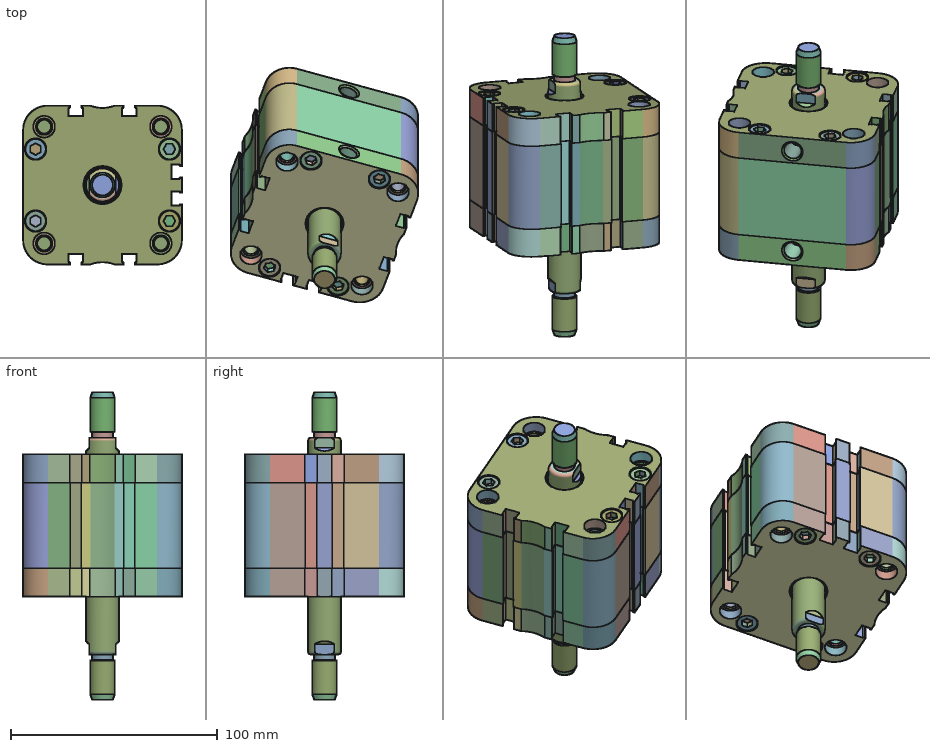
import cadquery as cq
import math

body_width = 77.0
corner_radius = 12.0
barrel_length = 41.4
cap_thickness = 13.8
bore_diameter = 63.0
body_height = barrel_length + 2 * cap_thickness

slot_opening = 5.4
slot_inner_width = 6.7
slot_depth = 5.0
slot_lip = 0.9
side_slot_offset = 13.0
end_slot_offset = 6.5
groove_width = 11.8
groove_depth = 1.1
cap_slot_clearance = 0.25

mount_offset = 28.25
mount_thread_diameter = 6.65
mount_thread_mouth = 8.0
mount_counterbore_diameter = 10.5
mount_counterbore_depth = 5.5

screw_x = 32.4
screw_y = 17.4
screw_pocket_diameter = 10.5
screw_head_diameter = 9.8
screw_head_height = 6.0
screw_head_sink = 0.4
hex_across_flats = 5.0
hex_depth = 3.0

port_diameter = 8.57
port_mouth_diameter = 10.3
port_depth = 15.0
port_from_face = 7.5

seal_mouth_diameter = 18.5
seal_outer_diameter = 17.7
seal_outer_depth = 1.0
seal_inner_diameter = 16.54
seal_inner_depth = 2.0

rod_diameter = 16.0
rod_top_reach = 30.0
rod_bottom_reach = 50.0
shoulder_rounding = 1.4
thread_diameter = 12.0
thread_length = 22.0
thread_tip_diameter = 10.0
thread_tip_length = 2.8
neck_diameter = 10.3
neck_length = 2.9
neck_chamfer = 0.4
flat_across = 13.0
flat_length = 5.0


def slot_cutter(offset, clearance):
    """Undercut slot profile in the XY plane, opening on the +Y face at x = offset."""
    face = body_width / 2
    mouth = slot_opening / 2 + clearance
    inner = slot_inner_width / 2 + clearance
    lip_bottom = face - slot_lip + clearance
    taper_bottom = lip_bottom - (inner - mouth)
    floor = face - slot_depth - clearance
    right_side = [(mouth, face), (mouth, lip_bottom), (inner, taper_bottom), (inner, floor)]
    left_side = [(-x, y) for x, y in reversed(right_side)]
    outline = [(offset + x, y) for x, y in right_side + left_side]
    return cq.Workplane("XY").polyline(outline).close().extrude(body_height)


def groove_cutter(clearance):
    """Shallow round groove in the middle of the +Y face."""
    face = body_width / 2
    half_width = groove_width / 2 + clearance
    depth = groove_depth + clearance / 2
    return (
        cq.Workplane("XY")
        .moveTo(-half_width, face)
        .threePointArc((0, face - depth), (half_width, face))
        .close()
        .extrude(body_height)
    )


def profile_block(length, clearance=0.0):
    """Rounded square block from z = 0 with its slots and grooves."""
    block = cq.Workplane("XY").rect(body_width, body_width).extrude(length)
    block = block.edges("|Z").fillet(corner_radius)
    for side in (-1, 1):
        side_slot = slot_cutter(side * side_slot_offset, clearance)
        end_slot = slot_cutter(side * end_slot_offset, clearance)
        block = block.cut(side_slot).cut(side_slot.mirror("XZ"))
        block = block.cut(end_slot.rotate((0, 0, 0), (0, 0, 1), -90))
    groove = groove_cutter(clearance)
    return block.cut(groove).cut(groove.mirror("XZ"))


def make_barrel():
    """Profile tube with the bore running right through."""
    tube = profile_block(barrel_length).translate((0, 0, -barrel_length / 2))
    return tube.faces(">Z").workplane(origin=(0, 0, 0)).hole(bore_diameter)


def mount_hole_cutter():
    """Counterbored, countersunk threaded hole, revolved about Z, with the outer cap face at its top."""
    floor = cap_thickness - mount_counterbore_depth
    thread_radius = mount_thread_diameter / 2
    mouth_radius = mount_thread_mouth / 2
    counterbore_radius = mount_counterbore_diameter / 2
    outline = [
        (0, 0),
        (thread_radius, 0),
        (thread_radius, floor - (mouth_radius - thread_radius)),
        (mouth_radius, floor),
        (counterbore_radius, floor),
        (counterbore_radius, cap_thickness),
        (0, cap_thickness),
    ]
    return cq.Workplane("XZ").polyline(outline).close().revolve(360, (0, 0), (0, 1))


def screw_cutter(hex_angle):
    """Space left free by a screw head sunk in its pocket: ring gap, head recess and hex socket."""
    head_top = cap_thickness - screw_head_sink
    pocket = (
        cq.Workplane("XY", origin=(0, 0, head_top - screw_head_height))
        .circle(screw_pocket_diameter / 2)
        .extrude(screw_head_height + screw_head_sink)
    )
    head = (
        cq.Workplane("XY", origin=(0, 0, head_top - screw_head_height))
        .circle(screw_head_diameter / 2)
        .extrude(screw_head_height)
    )
    hex_corner_diameter = hex_across_flats / math.cos(math.radians(30))
    socket = (
        cq.Workplane("XY", origin=(0, 0, head_top - hex_depth))
        .polygon(6, hex_corner_diameter)
        .extrude(hex_depth)
        .rotate((0, 0, 0), (0, 0, 1), hex_angle)
    )
    return pocket.cut(head.cut(socket))


def rod_passage_cutter():
    """Rod bore through the cap with the stepped seal recess at its outer end."""
    mouth_chamfer = (seal_mouth_diameter - seal_outer_diameter) / 2
    outer_floor = cap_thickness - seal_outer_depth
    inner_floor = cap_thickness - seal_inner_depth
    outline = [
        (0, 0),
        (rod_diameter / 2, 0),
        (rod_diameter / 2, inner_floor),
        (seal_inner_diameter / 2, inner_floor),
        (seal_inner_diameter / 2, outer_floor),
        (seal_outer_diameter / 2, outer_floor),
        (seal_outer_diameter / 2, cap_thickness - mouth_chamfer),
        (seal_mouth_diameter / 2, cap_thickness),
        (0, cap_thickness),
    ]
    return cq.Workplane("XZ").polyline(outline).close().revolve(360, (0, 0), (0, 1))


def port_cutter():
    """Chamfered blind port entering the cap from the -X face."""
    mouth_chamfer = (port_mouth_diameter - port_diameter) / 2
    radius = port_diameter / 2
    mouth_radius = port_mouth_diameter / 2
    outline = [
        (0, 0),
        (mouth_radius, 0),
        (radius, mouth_chamfer),
        (radius, port_depth),
        (0, port_depth),
    ]
    port = cq.Workplane("XZ").polyline(outline).close().revolve(360, (0, 0), (0, 1))
    port = port.rotate((0, 0, 0), (0, 1, 0), 90)
    return port.translate((-body_width / 2, 0, cap_thickness - port_from_face))


def make_cap():
    """Top cap with its inner face at z = 0; screw heads belong to the cap."""
    cap = profile_block(cap_thickness, cap_slot_clearance)
    cap = cap.cut(rod_passage_cutter())
    for x_side in (-1, 1):
        hex_angle = 30 if x_side < 0 else 0
        for y_side in (-1, 1):
            mount_place = (x_side * mount_offset, y_side * mount_offset, 0)
            screw_place = (x_side * screw_x, y_side * screw_y, 0)
            cap = cap.cut(mount_hole_cutter().translate(mount_place))
            cap = cap.cut(screw_cutter(hex_angle).translate(screw_place))
    return cap.cut(port_cutter())


def rod_half(reach):
    """Upper half of the rod from z = 0 up to `reach` above the cap face."""
    tip = body_height / 2 + reach
    shoulder = tip - thread_length
    thread_end = shoulder + neck_length
    rod_radius = rod_diameter / 2
    thread_radius = thread_diameter / 2
    neck_radius = neck_diameter / 2
    rounding_mid = shoulder_rounding * math.sqrt(0.5)
    rounding_center = (rod_radius - shoulder_rounding, shoulder - shoulder_rounding)
    half = (
        cq.Workplane("XZ")
        .lineTo(rod_radius, 0)
        .lineTo(rod_radius, rounding_center[1])
        .threePointArc(
            (rounding_center[0] + rounding_mid, rounding_center[1] + rounding_mid),
            (rounding_center[0], shoulder),
        )
        .lineTo(neck_radius, shoulder)
        .lineTo(neck_radius, thread_end - neck_chamfer)
        .lineTo(thread_radius, thread_end)
        .lineTo(thread_radius, tip - thread_tip_length)
        .lineTo(thread_tip_diameter / 2, tip)
        .lineTo(0, tip)
        .close()
        .revolve(360, (0, 0), (0, 1))
    )
    flat_x = flat_across / 2
    flat_end = shoulder - flat_length
    slope_run = rod_diameter - flat_x
    flat = (
        cq.Workplane("XZ")
        .moveTo(flat_x, shoulder)
        .lineTo(flat_x, flat_end)
        .lineTo(flat_x + slope_run, flat_end - slope_run)
        .lineTo(flat_x + slope_run, shoulder)
        .close()
        .extrude(rod_diameter, both=True)
    )
    return half.cut(flat).cut(flat.mirror("YZ"))


def make_rod():
    """Through rod, with the longer end pointing down."""
    return rod_half(rod_top_reach).union(rod_half(rod_bottom_reach).rotate((0, 0, 0), (1, 0, 0), 180))


barrel = make_barrel()
rod = make_rod()

caps = []
for turn in (0, 180):
    cap = make_cap().translate((0, 0, barrel_length / 2))
    caps.append(cap.rotate((0, 0, 0), (1, 0, 0), turn))

bodies = [barrel, *caps, rod]
result = cq.Compound.makeCompound([body.solids().val() for body in bodies])